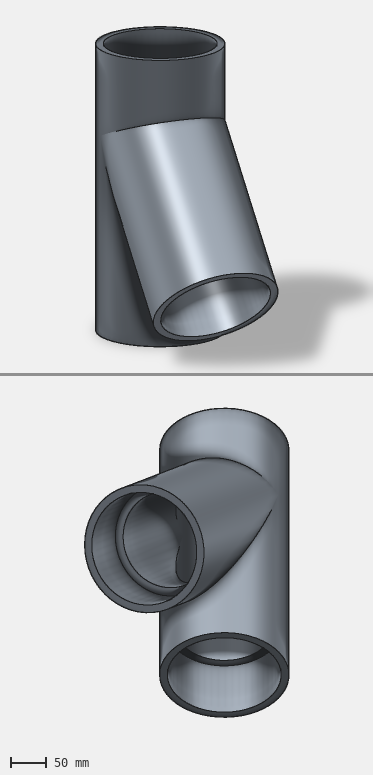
import cadquery as cq
import math


outer_diameter = 182.0
socket_diameter = 160.0
bore_diameter = 136.4
socket_depth = 86.0
run_length = 417.0
axes_meet_height = 291.3
branch_angle = 45.0
branch_reach = 270.61

outer_radius = outer_diameter / 2
slope = math.radians(branch_angle)
branch_length = (branch_reach - outer_radius * math.sin(slope)) / math.cos(slope)

base = cq.Plane(origin=(0, 0, 0), xDir=(1, 0, 0), normal=(0, 0, 1))
run_top = cq.Plane(origin=(0, 0, run_length), xDir=(1, 0, 0), normal=(0, 0, -1))
branch_direction = (math.cos(slope), 0, -math.sin(slope))
branch_start = cq.Plane(origin=(0, 0, axes_meet_height), xDir=(0, 1, 0), normal=branch_direction)
branch_mouth = cq.Plane(
    origin=(
        branch_length * math.cos(slope),
        0,
        axes_meet_height - branch_length * math.sin(slope),
    ),
    xDir=(0, 1, 0),
    normal=(-math.cos(slope), 0, math.sin(slope)),
)


def cylinder(plane, diameter, length):
    """Cylinder that starts on the plane and extends along its normal."""
    return cq.Workplane(plane).circle(diameter / 2).extrude(length)


def pipe_pair(diameter):
    """Run and branch cylinders of one diameter, joined at their crossing axes."""
    run = cylinder(base, diameter, run_length)
    branch = cylinder(branch_start, diameter, branch_length)
    return run.union(branch)


result = pipe_pair(outer_diameter).cut(pipe_pair(bore_diameter))

for mouth in (base, run_top, branch_mouth):
    result = result.cut(cylinder(mouth, socket_diameter, socket_depth))